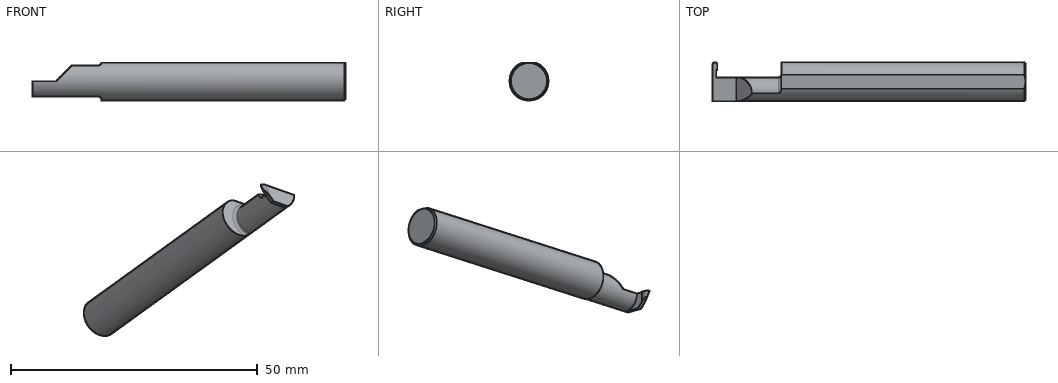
import cadquery as cq

length = 63.5
shank_diameter = 7.95
height_over_flat = 7.7
shank_radius = shank_diameter / 2
flat_height = height_over_flat - shank_radius
end_chamfer = 0.3

shoulder_x = 14.0
neck_radius = 3.2
neck_y = -2.3
neck_fillet = 0.65

rake_length = 4.8
head_bottom = -neck_radius
arm_thickness = 0.8
nose_thickness = 1.0
nose_radius = 0.475
nose_y = 3.95
nose_start_y = 2.35
nose_bottom_y = 3.25
nose_bottom_z = -1.15
relief_end_y = 1.2


def shank_bar():
    """Round bar with a chamfered rear end and a clamping flat along the top."""
    bar = cq.Workplane("YZ").circle(shank_radius).extrude(length)
    bar = bar.faces(">X").chamfer(end_chamfer)
    below_flat = cq.Workplane("XY").workplane(offset=flat_height).rect(
        3 * length, 4 * shank_radius).extrude(-3 * shank_radius)
    return bar.intersect(below_flat)


def neck_with_fillet():
    """Neck cylinder flaring into the shoulder through a concave fillet."""
    fillet_x = shoulder_x - neck_fillet
    fillet_y = neck_radius + neck_fillet
    arc_offset = neck_fillet * 0.5 ** 0.5
    return (
        cq.Workplane("XY")
        .lineTo(0, neck_radius)
        .lineTo(fillet_x, neck_radius)
        .threePointArc((fillet_x + arc_offset, fillet_y - arc_offset), (shoulder_x, fillet_y))
        .lineTo(shoulder_x, 0)
        .close()
        .revolve(360, (0, 0, 0), (1, 0, 0))
        .translate((0, neck_y, 0))
    )


def arm():
    """Thin arm behind the front face, carrying the rounded cutting nose."""
    slant_end_y = nose_y - (nose_y - nose_bottom_y) * head_bottom / nose_bottom_z
    slant_section = [
        (-shank_radius, 0),
        (nose_y, 0),
        (slant_end_y, head_bottom),
        (-shank_radius, head_bottom),
    ]
    blank = cq.Workplane("YZ").polyline(slant_section).close().extrude(nose_thickness)
    nose_middle = ((nose_y + slant_end_y) / 2, head_bottom / 2)
    for x in (0, nose_thickness):
        blank = blank.edges(cq.NearestToPointSelector((x, *nose_middle))).fillet(nose_radius)
    relief_slope = (nose_bottom_z - head_bottom) / (nose_bottom_y - relief_end_y)
    relief_top_z = head_bottom + relief_slope * (nose_y - relief_end_y)
    relief = cq.Workplane("YZ").polyline([
        (nose_y, relief_top_z),
        (relief_end_y, head_bottom),
        (nose_y, head_bottom),
    ]).close().extrude(nose_thickness)
    blank = blank.cut(relief)
    thinning = cq.Workplane("XY").box(
        nose_thickness, nose_start_y + shank_radius, 2 * shank_radius, centered=(False, False, True)
    ).translate((arm_thickness, -shank_radius, 0))
    return blank.cut(thinning)


def rake_clearance():
    """Space above the rake face, bounded behind by the ramp."""
    return (
        cq.Workplane("XZ")
        .polyline([
            (0, 0),
            (rake_length, 0),
            (rake_length + shank_radius, shank_radius),
            (0, shank_radius),
        ])
        .close()
        .extrude(2 * shank_radius, both=True)
    )


bar = shank_bar()
rear_shank = bar.intersect(cq.Workplane("YZ").workplane(offset=shoulder_x).rect(
    4 * shank_radius, 4 * shank_radius).extrude(length))
neck = neck_with_fillet().intersect(bar)
head = arm().intersect(bar)

result = rear_shank.union(neck).union(head).cut(rake_clearance())